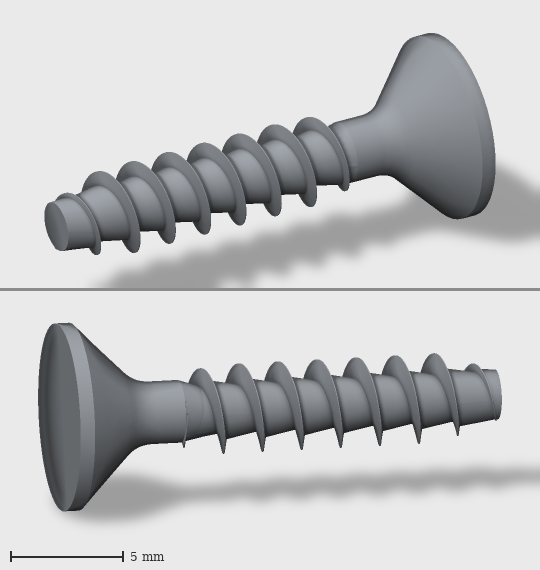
import cadquery as cq
import math


length = 20.0
head_radius = 4.2
rim_height = 0.65
cone_angle = math.radians(45)
shank_radius = 1.4
neck_fillet = 1.68
shank_end = 5.48

core_radius = 1.1
shoulder_length = 0.9

thread_start_depth = 5.25
thread_end_depth = 20.0
lead_in_turn = -0.09
full_ramp_turn = 0.25
full_crest_turn = 1.0
crest_fall_turn = 6.75
ramp_fall_turn = 7.0
end_turn = 8.25
pitch = (thread_end_depth - thread_start_depth) / end_turn
shank_exit_turn = (shank_end - thread_start_depth) / pitch
points_per_turn = 24

crest_radius = 2.0
lead_in_radius = 1.5
run_out_radius = 1.15
crest_half_width = 0.02
flank_slope = 0.25
flank_base_radius = 1.05
ramp_radius = 1.35
ramp_start = 0.25
ramp_sink = 0.01
ramp_gap = 0.01
ramp_end_radius = core_radius - ramp_sink


def interpolate(turn, turn_a, turn_b, value_a, value_b):
    """Straight-line value between value_a at turn_a and value_b at turn_b."""
    return value_a + (value_b - value_a) * (turn - turn_a) / (turn_b - turn_a)


def depth_at(turn):
    """Depth of the crest centre: the start lies flat against the shank end, then the helix begins."""
    return max(shank_end, thread_start_depth + pitch * turn)


def crest_at(turn):
    """Crest radius: rises over the lead-in, stays level, then falls to the core at the tip."""
    if turn < full_crest_turn:
        return interpolate(turn, lead_in_turn, full_crest_turn, lead_in_radius, crest_radius)
    if turn > crest_fall_turn:
        fall_turn = min(turn, end_turn)
        return interpolate(fall_turn, crest_fall_turn, end_turn, crest_radius, run_out_radius)
    return crest_radius


def ramp_at(turn):
    """Radius of the root ramp behind the tooth: rises over the start, stays level, falls to the tip."""
    if turn < full_ramp_turn:
        return interpolate(turn, lead_in_turn, full_ramp_turn, ramp_end_radius, ramp_radius)
    if turn > ramp_fall_turn:
        return interpolate(turn, ramp_fall_turn, end_turn, ramp_radius, ramp_end_radius)
    return ramp_radius


def flank_offset(crest, radius):
    """Axial distance from the crest centre to the tooth flank at a given radius."""
    return crest_half_width + flank_slope * (crest - radius)


def ramp_end_at(turn):
    """Axial offset of the ramp end, just short of the tooth one turn further on."""
    next_tooth = depth_at(turn + 1) - depth_at(turn)
    return next_tooth - flank_offset(crest_at(turn + 1), ramp_end_radius) - ramp_gap


def thread_section(turn):
    """Corners (radius, axial offset towards the tip) of the tooth with its root ramp."""
    crest = crest_at(turn)
    ramp = ramp_at(turn)
    ramp_end = ramp_end_at(turn)
    ramp_drop = (ramp - ramp_end_radius) / (ramp_end - ramp_start)
    ramp_below_crest = ramp + ramp_drop * (ramp_start - crest_half_width)
    foot_height = (crest - ramp_below_crest) / (1 - ramp_drop * flank_slope)
    foot_radius = crest - foot_height
    return [
        (flank_base_radius, -flank_offset(crest, flank_base_radius)),
        (crest, -crest_half_width),
        (crest, crest_half_width),
        (foot_radius, flank_offset(crest, foot_radius)),
        (ramp_end_radius, ramp_end),
    ]


def section_points(turn):
    """Section corners placed in space at the given turn."""
    angle = math.pi + 2 * math.pi * turn
    depth = depth_at(turn)
    return [
        cq.Vector(radius * math.cos(angle), -depth - offset, radius * math.sin(angle))
        for radius, offset in thread_section(turn)
    ]


def section_face(turn):
    return cq.Face.makeFromWires(cq.Wire.makePolygon(section_points(turn), close=True))


def helical_faces(turn_a, turn_b):
    """Ruled faces between the helical edges traced by the section corners."""
    steps = math.ceil((turn_b - turn_a) * points_per_turn)
    turns = [interpolate(i, 0, steps, turn_a, turn_b) for i in range(steps + 1)]
    edges = [cq.Edge.makeSpline(list(path)) for path in zip(*map(section_points, turns))]
    return [cq.Face.makeRuledSurface(edges[i - 1], edges[i]) for i in range(len(edges))]


def make_body():
    """Head, neck fillet, shank, shoulder and core as one revolved profile."""
    neck_corner = rim_height + (head_radius - shank_radius) / math.tan(cone_angle)
    half_arc = cone_angle / 2
    tangent = neck_fillet * math.tan(half_arc)
    fillet_start = (
        shank_radius + tangent * math.sin(cone_angle),
        -neck_corner + tangent * math.cos(cone_angle),
    )
    fillet_end = (shank_radius, -neck_corner - tangent)
    fillet_mid = (
        shank_radius + neck_fillet * (1 - math.cos(half_arc)),
        -neck_corner - tangent + neck_fillet * math.sin(half_arc),
    )
    return (
        cq.Workplane("XY")
        .lineTo(head_radius, 0)
        .lineTo(head_radius, -rim_height)
        .lineTo(*fillet_start)
        .threePointArc(fillet_mid, fillet_end)
        .lineTo(shank_radius, -shank_end)
        .lineTo(core_radius, -shank_end - shoulder_length)
        .lineTo(core_radius, -length)
        .lineTo(0, -length)
        .close()
        .revolve(360, (0, 0), (0, 1))
    )


def make_thread():
    """Helical thread, trimmed flat at the shank end and at the tip."""
    stages = [
        lead_in_turn,
        shank_exit_turn,
        full_ramp_turn,
        full_crest_turn,
        crest_fall_turn,
        ramp_fall_turn,
        end_turn,
    ]
    faces = [section_face(lead_in_turn), section_face(end_turn)]
    for turn_a, turn_b in zip(stages, stages[1:]):
        faces += helical_faces(turn_a, turn_b)
    thread = cq.Solid.makeSolid(cq.Shell.makeShell(faces))
    envelope = (
        cq.Workplane("XZ", origin=(0, -shank_end, 0))
        .circle(head_radius)
        .extrude(length - shank_end)
    )
    return envelope.intersect(cq.Workplane(obj=thread))


result = make_body().union(make_thread())